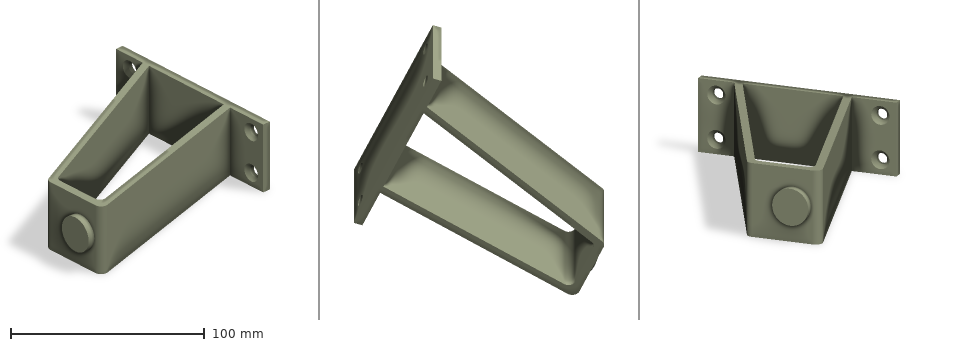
import cadquery as cq

total_depth = 130.0
height = 40.0
plate_length = 110.2
thickness = 4.7
boss_height = 4.0
boss_diameter = 20.0
boss_x = 101.7
frame_depth = total_depth - boss_height

left_at_plate = 20.0
right_at_plate = 85.4
left_at_front = 76.2
right_at_front = 117.6
wall_width = 4.7
outer_radius = 4.0
inner_radius = 3.5

hole_diameter = 6.0
sink_diameter = 10.1
sink_angle = 90
left_hole_inset = 10.1
right_hole_inset = 9.0
hole_spacing = 24.0

plate_front = -thickness
outer_front = -frame_depth
inner_front = outer_front + thickness


def wall_x(at_plate, at_front, y):
    """X of a sloping outer wall face at the given Y."""
    fraction = (plate_front - y) / (plate_front - outer_front)
    return at_plate + (at_front - at_plate) * fraction


def loop_prism(inset, front_y, corner_radius):
    """Tapered prism in front of the plate, with rounded front corners."""
    outline = [
        (wall_x(left_at_plate, left_at_front, plate_front) + inset, plate_front),
        (wall_x(left_at_plate, left_at_front, front_y) + inset, front_y),
        (wall_x(right_at_plate, right_at_front, front_y) - inset, front_y),
        (wall_x(right_at_plate, right_at_front, plate_front) - inset, plate_front),
    ]
    prism = cq.Workplane("XY").polyline(outline).close().extrude(height)
    return prism.edges("|Z").edges(
        cq.selectors.BoxSelector((0, front_y - 1.3, -1.3), (total_depth, front_y + 1.3, height + 1.3))
    ).fillet(corner_radius)


def mounting_plate():
    plate = cq.Workplane("XY").box(plate_length, thickness, height, centered=False)
    plate = plate.translate((0, plate_front, 0))
    holes = [
        (x, height / 2 + side * hole_spacing / 2)
        for x in (left_hole_inset, plate_length - right_hole_inset)
        for side in (-1, 1)
    ]
    return (
        plate.faces("<Y")
        .workplane(origin=(0, plate_front, 0))
        .pushPoints(holes)
        .cskHole(hole_diameter, sink_diameter, sink_angle)
    )


def front_boss():
    return (
        cq.Workplane("XZ", origin=(boss_x, outer_front, height / 2))
        .circle(boss_diameter / 2)
        .extrude(boss_height)
    )


loop = loop_prism(0, outer_front, outer_radius)
loop = loop.cut(loop_prism(wall_width, inner_front, inner_radius))
result = mounting_plate().union(loop).union(front_boss())